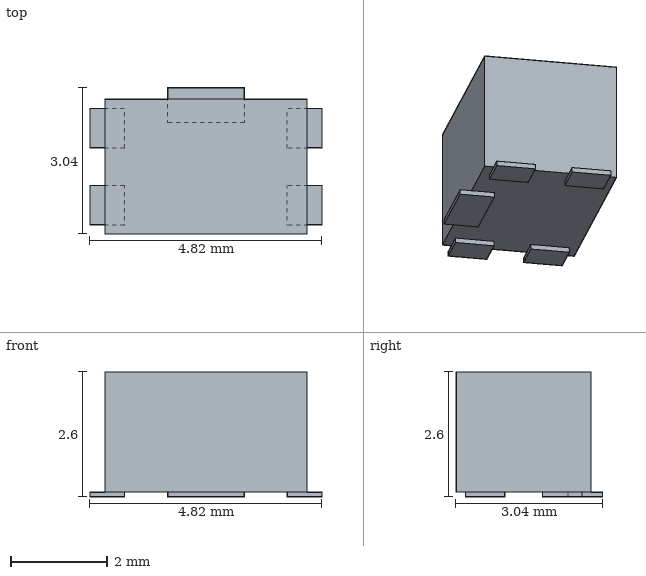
import cadquery as cq

housing_length = 4.205
housing_depth = 2.8
housing_height = 2.495

terminal_thickness = 0.1
overall_length = 4.82
lead_length = 0.725
lead_width = 0.82
lead_pitch = 1.6
tab_width = 1.59
tab_depth = lead_length
tab_overhang = 0.24


def make_plate(length, depth, height, center_x, center_y, bottom_z):
    """Rectangular block centred in X and Y, standing on bottom_z."""
    plate = cq.Workplane("XY").box(length, depth, height, centered=(True, True, False))
    return plate.translate((center_x, center_y, bottom_z))


def make_housing():
    return make_plate(housing_length, housing_depth, housing_height, 0, 0, terminal_thickness)


def make_lead(side_x, side_y):
    """Side lead projecting past the housing end; the sides are -1 or 1."""
    center_x = side_x * (overall_length - lead_length) / 2
    center_y = side_y * lead_pitch / 2
    return make_plate(lead_length, lead_width, terminal_thickness, center_x, center_y, 0)


def make_tab():
    """Wide tab projecting past the back (+Y) face of the housing."""
    center_y = housing_depth / 2 + tab_overhang - tab_depth / 2
    return make_plate(tab_width, tab_depth, terminal_thickness, 0, center_y, 0)


housing = make_housing()
leads = [make_lead(side_x, side_y) for side_x in (-1, 1) for side_y in (-1, 1)]
tab = make_tab()

result = cq.Compound.makeCompound([housing.val(), *[lead.val() for lead in leads], tab.val()])